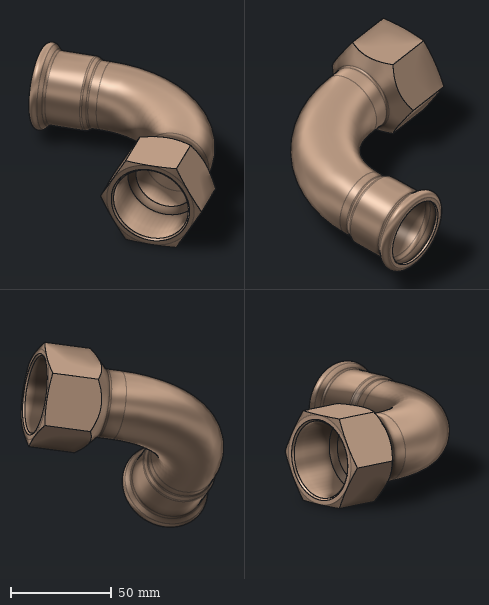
import cadquery as cq
import math


wall = 1.4
pipe_radius = 34.9 / 2
pipe_bore_radius = 16.0
socket_radius = 38.0 / 2
hex_flats = 46.0
bend_radius = 52.5
socket_end_x = -87.1
hex_end_y = -94.9

bead_radius = 2.8
bead_ring_radius = 19.6
bead_cone_angle = math.radians(45)
bead_fillet = 2.0
shoulder_start = 26.4
shoulder_angle = math.radians(30)
shoulder_fillet = 1.9
stop_bore_radius = 14.9
socket_bore_radius = socket_radius - wall
bend_start = -socket_end_x - bend_radius

neck_length = -hex_end_y - bend_radius
cone_start = 34.0
neck_fillet = 1.9
thread_bore_radius = 19.6
thread_bore_depth = 24.9
bore_cone_angle = math.radians(60)
mouth_chamfer = 0.9
end_chamfer_radius = 22.9
end_chamfer_angle = math.radians(15)
hex_corner_radius = hex_flats / math.sqrt(3)


def arc_point(center, radius, angle):
    """Point on a circle; the angle is measured from the first axis."""
    return (center[0] + radius * math.cos(angle), center[1] + radius * math.sin(angle))


def bead_section(sketch, offset):
    """Continue a socket profile over the bead and down to the socket wall.

    offset is 0 for the outer skin and the wall thickness for the inner skin.
    """
    center = (bead_radius, bead_ring_radius)
    radius = bead_radius - offset
    slope_normal = math.pi / 2 - bead_cone_angle
    bead_arc_middle = (math.pi + slope_normal) / 2
    bead_end = arc_point(center, radius, slope_normal)
    fillet = bead_fillet + offset
    wall_radius = socket_radius - offset
    cone_end_radius = wall_radius + fillet * (1 - math.cos(bead_cone_angle))
    cone_end_x = bead_end[0] + (bead_end[1] - cone_end_radius) / math.tan(bead_cone_angle)
    fillet_center = (cone_end_x + fillet * math.sin(bead_cone_angle), wall_radius + fillet)
    fillet_middle = arc_point(fillet_center, fillet, -math.pi / 2 - bead_cone_angle / 2)
    return (
        sketch.lineTo(offset, bead_ring_radius)
        .threePointArc(arc_point(center, radius, bead_arc_middle), bead_end)
        .lineTo(cone_end_x, cone_end_radius)
        .threePointArc(fillet_middle, (fillet_center[0], wall_radius))
    )


def revolve_socket(sketch):
    """Spin a closed (distance, radius) profile and move it to the socket end."""
    solid = sketch.close().revolve(360, (0, 0, 0), (1, 0, 0))
    return solid.translate((socket_end_x, 0, 0))


def socket_body():
    """Outer skin: rolled bead, cylindrical socket, S-shaped shoulder, pipe stub."""
    upper_center = (shoulder_start, socket_radius - shoulder_fillet)
    upper_end = arc_point(upper_center, shoulder_fillet, math.pi / 2 - shoulder_angle)
    lower_start_radius = pipe_radius + shoulder_fillet * (1 - math.cos(shoulder_angle))
    lower_start_x = upper_end[0] + (upper_end[1] - lower_start_radius) / math.tan(shoulder_angle)
    lower_center = (
        lower_start_x + shoulder_fillet * math.sin(shoulder_angle),
        pipe_radius + shoulder_fillet,
    )
    upper_middle = arc_point(upper_center, shoulder_fillet, (math.pi - shoulder_angle) / 2)
    lower_middle = arc_point(lower_center, shoulder_fillet, -(math.pi + shoulder_angle) / 2)
    profile = (
        bead_section(cq.Workplane("XY").moveTo(0, 0), 0)
        .lineTo(shoulder_start, socket_radius)
        .threePointArc(upper_middle, upper_end)
        .lineTo(lower_start_x, lower_start_radius)
        .threePointArc(lower_middle, (lower_center[0], pipe_radius))
        .lineTo(bend_start, pipe_radius)
        .lineTo(bend_start, 0)
    )
    return revolve_socket(profile)


def socket_cavity():
    """Socket bore with the seal groove inside the bead, ending on a pipe stop."""
    entrance = (
        cq.Workplane("XY").moveTo(0, 0)
        .lineTo(0, socket_bore_radius)
        .lineTo(wall, socket_bore_radius)
    )
    profile = (
        bead_section(entrance, wall)
        .lineTo(shoulder_start, socket_bore_radius)
        .lineTo(shoulder_start, stop_bore_radius)
        .lineTo(bend_start, stop_bore_radius)
        .lineTo(bend_start, 0)
    )
    return revolve_socket(profile)


def bend(radius):
    """Quarter torus joining the socket axis to the hex axis."""
    return (
        cq.Workplane("YZ", origin=(-bend_radius, 0, 0))
        .circle(radius)
        .revolve(90, (-bend_radius, 1.2, 0), (-bend_radius, 0, 0))
    )


def revolve_hex_end(sketch):
    """Spin a (radius, distance) profile about the hex axis, from the open face inward."""
    solid = sketch.close().revolve(360, (0, 0, 0), (0, 1, 0))
    return solid.translate((0, hex_end_y, 0))


def hex_body():
    """Hexagon trimmed by the neck cone and the end chamfer, plus the pipe neck."""
    hexagon = (
        cq.Workplane("XZ", origin=(0, hex_end_y, 0))
        .polygon(6, 2 * hex_corner_radius)
        .extrude(-neck_length)
    )
    chamfer_height = (hex_corner_radius - end_chamfer_radius) * math.tan(end_chamfer_angle)
    cone_height = hex_corner_radius - pipe_radius
    cone_angle = math.radians(45)
    tangent_length = neck_fillet * math.tan(cone_angle / 2)
    fillet_center = (pipe_radius + neck_fillet, cone_start + tangent_length)
    envelope = revolve_hex_end(
        cq.Workplane("XY").moveTo(0, 0)
        .lineTo(end_chamfer_radius, 0)
        .lineTo(hex_corner_radius, chamfer_height)
        .lineTo(hex_corner_radius, cone_start - cone_height)
        .lineTo(*arc_point(fillet_center, neck_fillet, math.pi + cone_angle))
        .threePointArc(
            arc_point(fillet_center, neck_fillet, math.pi + cone_angle / 2),
            (pipe_radius, fillet_center[1]),
        )
        .lineTo(pipe_radius, neck_length)
        .lineTo(0, neck_length)
    )
    return hexagon.intersect(envelope)


def hex_cavity():
    """Chamfered thread bore narrowing through a cone to the pipe bore."""
    cone_end = thread_bore_depth + (thread_bore_radius - pipe_bore_radius) / math.tan(bore_cone_angle)
    points = [
        (0, 0),
        (thread_bore_radius + mouth_chamfer, 0),
        (thread_bore_radius, mouth_chamfer),
        (thread_bore_radius, thread_bore_depth),
        (pipe_bore_radius, cone_end),
        (pipe_bore_radius, neck_length),
        (0, neck_length),
    ]
    return revolve_hex_end(cq.Workplane("XY").polyline(points))


body = socket_body().union(bend(pipe_radius)).union(hex_body())
result = body.cut(socket_cavity()).cut(bend(pipe_bore_radius)).cut(hex_cavity())